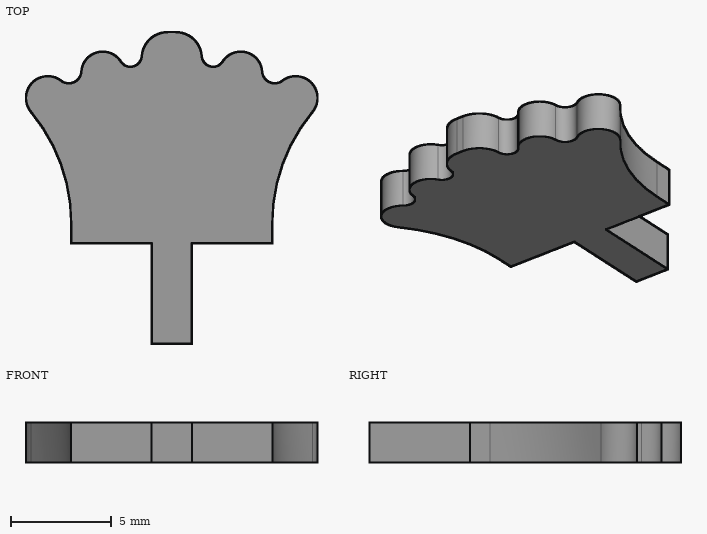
import cadquery as cq
import math

thickness = 2.0
overall_width = 14.5
overall_length = 15.5

stem_width = 2.0
stem_length = 5.0
base_width = 10.0
base_side_length = 1.0

outer_lobe_radius = 1.09
outer_lobe_y = 12.22
middle_lobe = (-3.43, 13.46, 1.07)
top_flat_width = 0.4
top_lobe_width = 3.0

outer_valley_radius = 0.62
inner_valley_radius = 0.56

side_start = (-base_width / 2, stem_length + base_side_length)
outer_lobe = (outer_lobe_radius - overall_width / 2, outer_lobe_y, outer_lobe_radius)
top_corner_radius = (top_lobe_width - top_flat_width) / 2
top_corner = (-top_flat_width / 2, overall_length - top_corner_radius, top_corner_radius)


def side_circle(start, lobe):
    """Circle leaving start vertically, curving outward, and touching the lobe from outside."""
    dx = lobe[0] - start[0]
    dy = lobe[1] - start[1]
    radius = (dx**2 + dy**2 - lobe[2] ** 2) / (2 * (lobe[2] - dx))
    return (start[0] - radius, start[1], radius)


def valley_circle(left, right, radius):
    """Circle resting in the notch above two lobes, tangent to both."""
    dx = right[0] - left[0]
    dy = right[1] - left[1]
    span = math.hypot(dx, dy)
    reach_left = left[2] + radius
    reach_right = right[2] + radius
    along = (span**2 + reach_left**2 - reach_right**2) / (2 * span)
    height = math.sqrt(reach_left**2 - along**2)
    x = left[0] + (along * dx - height * dy) / span
    y = left[1] + (along * dy + height * dx) / span
    return (x, y, radius)


def touch_point(first, second):
    """Point where two externally tangent circles meet."""
    share = first[2] / (first[2] + second[2])
    return tuple(first[i] + share * (second[i] - first[i]) for i in range(2))


def arc_middle(circle, start, end, clockwise):
    """Halfway point of the arc on circle running from start to end."""
    start_angle = math.atan2(start[1] - circle[1], start[0] - circle[0])
    end_angle = math.atan2(end[1] - circle[1], end[0] - circle[0])
    if clockwise:
        sweep = -((start_angle - end_angle) % (2 * math.pi))
    else:
        sweep = (end_angle - start_angle) % (2 * math.pi)
    angle = start_angle + sweep / 2
    return (circle[0] + circle[2] * math.cos(angle), circle[1] + circle[2] * math.sin(angle))


def left_edge_arcs():
    """Tangent arcs up the left side, from the base to the flat top, as (middle, end) points."""
    circles = [
        side_circle(side_start, outer_lobe),
        outer_lobe,
        valley_circle(outer_lobe, middle_lobe, outer_valley_radius),
        middle_lobe,
        valley_circle(middle_lobe, top_corner, inner_valley_radius),
        top_corner,
    ]
    ends = [touch_point(first, second) for first, second in zip(circles, circles[1:])]
    ends.append((top_corner[0], overall_length))

    arcs = []
    start = side_start
    for index, (circle, end) in enumerate(zip(circles, ends)):
        is_lobe = index % 2 == 1
        arcs.append((arc_middle(circle, start, end, clockwise=is_lobe), end))
        start = end
    return arcs


def crown_half():
    """Left half of the crown with its half of the stem, closed along the centre line."""
    outline = (
        cq.Workplane("XY")
        .moveTo(0, 0)
        .lineTo(-stem_width / 2, 0)
        .lineTo(-stem_width / 2, stem_length)
        .lineTo(-base_width / 2, stem_length)
        .lineTo(*side_start)
    )
    for middle, end in left_edge_arcs():
        outline = outline.threePointArc(middle, end)
    return outline.lineTo(0, overall_length).close().extrude(thickness)


left_half = crown_half()
result = left_half.union(left_half.mirror("YZ")).clean()